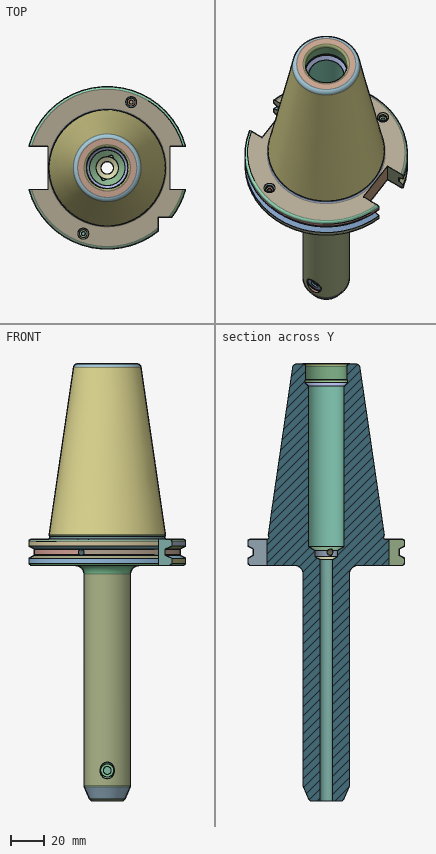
import cadquery as cq
import math

total_height = 261.8
taper_length = 101.8
gauge_z = total_height - taper_length
flange_top_z = gauge_z - 3.1
flange_bottom_z = gauge_z - 19.0
groove_z = gauge_z - 11.0

taper_slope = 7 / 48
gauge_radius = 34.8
taper_top_radius = gauge_radius - taper_length * taper_slope
taper_overrun = 0.8
taper_base_z = gauge_z - taper_overrun
taper_base_radius = gauge_radius + taper_overrun * taper_slope
taper_rim_fillet = 2.5
neck_radius = 34.5
neck_shoulder_height = 0.8
neck_fillet = 0.8

flange_radius = 48.7
flange_top_fillet = 1.5
flange_bottom_chamfer = 1.3
groove_root_radius = 45.5
groove_root_width = 3.7
groove_half_angle = 30
groove_root_fillet = 0.5
slot_width = 25.7
slot_floor_left_x = -35.5
slot_floor_right_x = 37.7
notch_x = 30.5
notch_y = -29.5

shank_diameter = 28.0
shank_radius = shank_diameter / 2
shank_fillet = 5.0
tip_cone_height = 9.0
tip_cone_radius = 10.7
tip_shoulder_fillet = 1.8
tip_chamfer_height = 1.3
tip_radius = 9.5

mouth_fillet = 1.5
mouth_radius = 12.3
mouth_depth = 11.8
mouth_relief_top_depth = 9.5
mouth_relief_depth = 0.4
mouth_relief_radius = mouth_radius + mouth_relief_depth
thread_diameter = 21.2
thread_radius = thread_diameter / 2
drill_point_angle = 118
pilot_diameter = 13.3
pilot_radius = pilot_diameter / 2
pilot_top_z = groove_z + 1.0
pilot_bottom_z = groove_z - 2.5
coolant_radius = 3.7

feed_angles = (70, 250)
feed_circle_radius = 42.0
feed_radius = 2.4
feed_floor_depth = 2.5
feed_drill_radius = 1.18
feed_countersink = 0.92
feed_mouth_radius = feed_radius + feed_countersink
feed_cross_radius = 1.8

side_hole_z = 18.3
front_hole_mouth_radius = 5.0
back_hole_mouth_radius = 6.0
side_hole_countersink = 1.0
side_hole_depth = 1.5
side_pit_radius = 2.4
side_pit_depth = 1.3


def ring_at(z):
    """Selector for the circular edges centred on the axis at height z."""
    reach = 0.03
    return cq.selectors.BoxSelector((-reach, -reach, z - reach), (reach, reach, z + reach))


def make_body():
    """Taper, flange and shank turned as one solid."""
    groove_depth = flange_radius - groove_root_radius
    root_half = groove_root_width / 2
    mouth_half = root_half + groove_depth * math.tan(math.radians(groove_half_angle))
    body = (
        cq.Workplane("XZ")
        .moveTo(0, 0)
        .lineTo(tip_radius, 0)
        .lineTo(tip_cone_radius, tip_chamfer_height)
        .lineTo(shank_radius, tip_cone_height)
        .lineTo(shank_radius, flange_bottom_z - shank_fillet)
        .radiusArc((shank_radius + shank_fillet, flange_bottom_z), shank_fillet)
        .lineTo(flange_radius - flange_bottom_chamfer, flange_bottom_z)
        .lineTo(flange_radius, flange_bottom_z + flange_bottom_chamfer)
        .lineTo(flange_radius, groove_z - mouth_half)
        .lineTo(groove_root_radius, groove_z - root_half)
        .lineTo(groove_root_radius, groove_z + root_half)
        .lineTo(flange_radius, groove_z + mouth_half)
        .lineTo(flange_radius, flange_top_z - flange_top_fillet)
        .radiusArc((flange_radius - flange_top_fillet, flange_top_z), -flange_top_fillet)
        .lineTo(neck_radius + neck_fillet, flange_top_z)
        .radiusArc((neck_radius, flange_top_z + neck_fillet), neck_fillet)
        .lineTo(neck_radius, taper_base_z - neck_shoulder_height)
        .lineTo(taper_base_radius, taper_base_z)
        .lineTo(taper_top_radius, total_height)
        .lineTo(0, total_height)
        .close()
        .revolve(360, (0, 0, 0), (0, 1, 0))
    )
    body = body.edges(ring_at(groove_z - root_half)).fillet(groove_root_fillet)
    body = body.edges(ring_at(groove_z + root_half)).fillet(groove_root_fillet)
    body = body.edges(ring_at(tip_cone_height)).fillet(tip_shoulder_fillet)
    return body.faces(">Z").edges().fillet(taper_rim_fillet)


def make_bore():
    """Stepped bore along the whole axis."""
    drill_slope = 1 / math.tan(math.radians(drill_point_angle / 2))
    thread_end_z = pilot_top_z + (thread_radius - pilot_radius) * drill_slope
    pilot_cone_z = pilot_bottom_z - (pilot_radius - coolant_radius) * drill_slope
    mouth_bottom_z = total_height - mouth_depth
    relief_top_z = total_height - mouth_relief_top_depth
    return (
        cq.Workplane("XZ")
        .moveTo(0, total_height)
        .lineTo(mouth_radius + mouth_fillet, total_height)
        .radiusArc((mouth_radius, total_height - mouth_fillet), -mouth_fillet)
        .lineTo(mouth_radius, relief_top_z)
        .lineTo(mouth_relief_radius, relief_top_z - mouth_relief_depth)
        .lineTo(mouth_relief_radius, mouth_bottom_z + mouth_relief_depth)
        .lineTo(mouth_radius, mouth_bottom_z)
        .lineTo(thread_radius, mouth_bottom_z - (mouth_radius - thread_radius))
        .lineTo(thread_radius, thread_end_z)
        .lineTo(pilot_radius, pilot_top_z)
        .lineTo(pilot_radius, pilot_bottom_z)
        .lineTo(coolant_radius, pilot_cone_z)
        .lineTo(coolant_radius, 0)
        .lineTo(0, 0)
        .close()
        .revolve(360, (0, 0, 0), (0, 1, 0))
    )


def make_flange_cutouts():
    """Two drive slots of unequal depth and a corner notch, through the flange."""
    height = flange_top_z - flange_bottom_z
    reach = 2 * flange_radius

    def corner_box(x, y, length, width):
        return (
            cq.Workplane("XY", origin=(x, y, flange_bottom_z))
            .box(length, width, height, centered=False)
        )

    left_slot = corner_box(slot_floor_left_x - reach, -slot_width / 2, reach, slot_width)
    right_slot = corner_box(slot_floor_right_x, -slot_width / 2, reach, slot_width)
    notch = corner_box(notch_x, notch_y - reach, reach, reach)
    return left_slot.union(right_slot).union(notch)


def make_feed_hole(angle):
    """Countersunk stepped hole into the flange, met by a radial hole from groove to bore."""
    floor_z = flange_top_z - feed_floor_depth
    down_hole = (
        cq.Workplane("XZ")
        .moveTo(0, flange_top_z)
        .lineTo(feed_mouth_radius, flange_top_z)
        .lineTo(feed_radius, flange_top_z - feed_countersink)
        .lineTo(feed_radius, floor_z)
        .lineTo(feed_drill_radius, floor_z)
        .lineTo(feed_drill_radius, groove_z)
        .lineTo(0, groove_z)
        .close()
        .revolve(360, (0, 0, 0), (0, 1, 0))
        .translate((feed_circle_radius, 0, 0))
    )
    cross_hole = (
        cq.Workplane("YZ", origin=(0, 0, groove_z))
        .circle(feed_cross_radius)
        .extrude(flange_radius)
    )
    return down_hole.union(cross_hole).rotate((0, 0, 0), (0, 0, 1), angle)


def make_side_hole(mouth_radius, turn):
    """Countersunk blind hole with a smaller pit in its floor, turned about Z from the +Y side."""
    hole_radius = mouth_radius - side_hole_countersink
    floor_y = shank_radius - side_hole_depth
    pit_y = floor_y - side_pit_depth
    hole = (
        cq.Workplane("XY")
        .moveTo(0, shank_radius)
        .lineTo(mouth_radius, shank_radius)
        .lineTo(hole_radius, shank_radius - side_hole_countersink)
        .lineTo(hole_radius, floor_y)
        .lineTo(side_pit_radius, floor_y)
        .lineTo(side_pit_radius, pit_y)
        .lineTo(0, pit_y)
        .close()
        .revolve(360, (0, 0, 0), (0, 1, 0))
        .translate((0, 0, side_hole_z))
    )
    return hole.rotate((0, 0, 0), (0, 0, 1), turn)


result = make_body().cut(make_flange_cutouts()).cut(make_bore())
result = result.cut(make_side_hole(front_hole_mouth_radius, 180))
result = result.cut(make_side_hole(back_hole_mouth_radius, 0))
for feed_angle in feed_angles:
    result = result.cut(make_feed_hole(feed_angle))